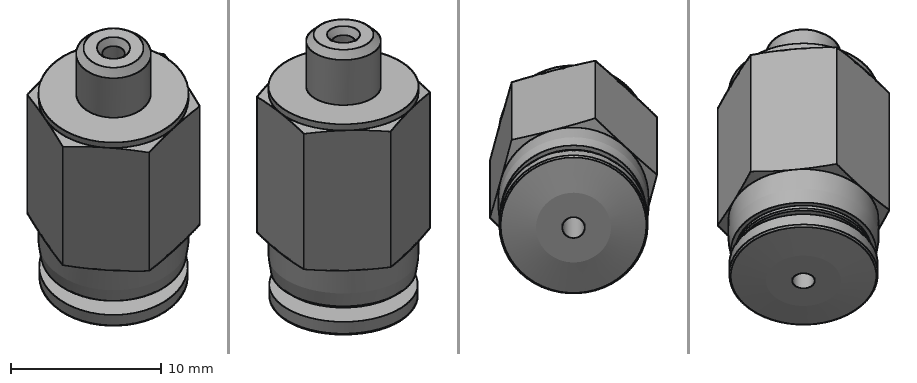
import cadquery as cq
import math

across_flats = 10.0
body_radius = across_flats / 2
corner_radius = body_radius / math.cos(math.pi / 6)
hex_bottom = 5.5
hex_top = 16.33
hex_chamfer_angle = 13

total_height = 20.8
collar_top = 16.8
stud_radius = 2.5
stud_chamfer = 0.5

taper_top = 3.72
taper_bottom = 2.65
taper_end_radius = 4.85
lip_diameter = 9.1
lip_radius = lip_diameter / 2
lip_bottom = 2.29
lip_chamfer = 0.1

neck_diameter = 5.6
neck_radius = neck_diameter / 2
flare_size = 0.4
flange_radius = 4.95
flange_top = 1.5
flange_edge_bottom = 0.58
flange_corner_drop = 0.15
flange_corner_inset = 0.1
button_face_radius = 2.5

bore_diameter = 1.5
bore_mouth_radius = 1.1
countersink_depth = 0.5


def make_round_body():
    """Revolve everything except the hexagon about the Z axis."""
    flare_mid = flare_size * (1 - math.sqrt(0.5))
    profile = (
        cq.Workplane("XZ")
        .lineTo(button_face_radius, 0)
        .lineTo(flange_radius - flange_corner_inset, flange_edge_bottom - flange_corner_drop)
        .lineTo(flange_radius, flange_edge_bottom)
        .lineTo(flange_radius, flange_top)
        .lineTo(neck_radius + flare_size, flange_top)
        .threePointArc(
            (neck_radius + flare_mid, flange_top + flare_mid),
            (neck_radius, flange_top + flare_size),
        )
        .lineTo(neck_radius, lip_bottom)
        .lineTo(lip_radius - lip_chamfer, lip_bottom)
        .lineTo(lip_radius, lip_bottom + lip_chamfer)
        .lineTo(lip_radius, taper_bottom)
        .lineTo(taper_end_radius, taper_bottom)
        .lineTo(body_radius, taper_top)
        .lineTo(body_radius, collar_top)
        .lineTo(stud_radius, collar_top)
        .lineTo(stud_radius, total_height - stud_chamfer)
        .lineTo(stud_radius - stud_chamfer, total_height)
        .lineTo(0, total_height)
        .close()
    )
    return profile.revolve(360, (0, 0, 0), (0, 1, 0))


def make_hexagon():
    """Hexagonal prism with its corners turned down conically at both ends."""
    prism = (
        cq.Workplane("XY")
        .workplane(offset=hex_bottom)
        .polygon(6, 2 * corner_radius)
        .extrude(hex_top - hex_bottom)
    )
    corner_drop = (corner_radius - body_radius) * math.tan(math.radians(hex_chamfer_angle))
    envelope = (
        cq.Workplane("XZ")
        .moveTo(0, hex_bottom)
        .lineTo(body_radius, hex_bottom)
        .lineTo(corner_radius, hex_bottom + corner_drop)
        .lineTo(corner_radius, hex_top - corner_drop)
        .lineTo(body_radius, hex_top)
        .lineTo(0, hex_top)
        .close()
        .revolve(360, (0, 0, 0), (0, 1, 0))
    )
    return prism.intersect(envelope)


def make_bore():
    """Through bore with a conical mouth at the stud end."""
    bore_radius = bore_diameter / 2
    return (
        cq.Workplane("XZ")
        .lineTo(bore_radius, 0)
        .lineTo(bore_radius, total_height - countersink_depth)
        .lineTo(bore_mouth_radius, total_height)
        .lineTo(0, total_height)
        .close()
        .revolve(360, (0, 0, 0), (0, 1, 0))
    )


result = make_round_body().union(make_hexagon()).cut(make_bore())